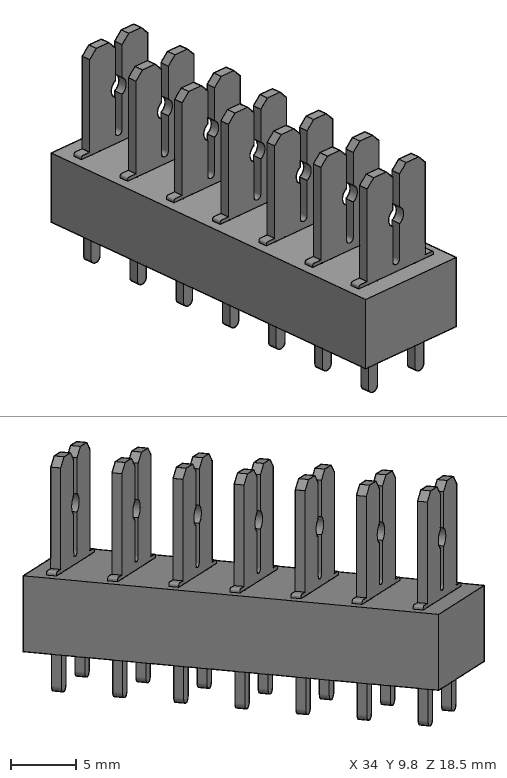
import cadquery as cq

HOUSING_LENGTH = 34.0
HOUSING_WIDTH = 9.8
HOUSING_HEIGHT = 6.0

CONTACT_COUNT = 7
CONTACT_PITCH = 5.0
CONTACT_THICKNESS = 0.8

BLADE_HEIGHT = 9.0
PRONG_WIDTH = 2.8
PRONG_CHAMFER = 0.7
SLOT_WIDTH = 0.7
SLOT_FLOOR_HEIGHT = 0.6
RELIEF_DIAMETER = 1.6
RELIEF_HEIGHT = 4.73

SHOULDER_WIDTH = 8.1
SHOULDER_HEIGHT = 0.3
SHOULDER_RADIUS = 0.2

LEG_SPACING = 5.0
LEG_WIDTH = 1.0
LEG_PROTRUSION = 3.5

contact_positions = [
    (index - (CONTACT_COUNT - 1) / 2) * CONTACT_PITCH for index in range(CONTACT_COUNT)
]
leg_positions = [-LEG_SPACING / 2, LEG_SPACING / 2]


def plate(width, height, y_center, z_bottom):
    """Rectangular plate of contact thickness, centred on X = 0."""
    return (
        cq.Workplane("XY", origin=(0, y_center, z_bottom))
        .box(CONTACT_THICKNESS, width, height, centered=(True, True, False))
    )


def cross_cylinder(diameter, y_center, z_center):
    """Cylinder along X, as long as the contact is thick."""
    return (
        cq.Workplane("YZ", origin=(-CONTACT_THICKNESS / 2, y_center, z_center))
        .circle(diameter / 2)
        .extrude(CONTACT_THICKNESS)
    )


def make_prong(y_center):
    """One prong of the fork, with both top corners chamfered."""
    prong = plate(PRONG_WIDTH, BLADE_HEIGHT, y_center, HOUSING_HEIGHT)
    return prong.faces(">Z").edges("|X").chamfer(PRONG_CHAMFER)


def make_web():
    """Solid foot of the blade that joins the prongs around the rounded slot floor."""
    slot_radius = SLOT_WIDTH / 2
    web_height = SLOT_FLOOR_HEIGHT + slot_radius
    web = plate(SLOT_WIDTH, web_height, 0, HOUSING_HEIGHT)
    return web.cut(cross_cylinder(SLOT_WIDTH, 0, HOUSING_HEIGHT + web_height))


def make_leg(y_center):
    """Solder leg with a full-round tip."""
    tip_center = LEG_WIDTH / 2 - LEG_PROTRUSION
    straight_length = HOUSING_HEIGHT - tip_center
    leg = plate(LEG_WIDTH, straight_length, y_center, tip_center)
    return leg.union(cross_cylinder(LEG_WIDTH, y_center, tip_center))


def make_contact(x_center):
    """Complete contact: shoulder, forked blade with round relief, and two legs."""
    shoulder = plate(SHOULDER_WIDTH, SHOULDER_HEIGHT, 0, HOUSING_HEIGHT)
    contact = shoulder.faces(">Z").edges("|X").fillet(SHOULDER_RADIUS)
    contact = contact.union(make_web())
    prong_offset = (SLOT_WIDTH + PRONG_WIDTH) / 2
    for y_center in (-prong_offset, prong_offset):
        contact = contact.union(make_prong(y_center))
    for y_center in leg_positions:
        contact = contact.union(make_leg(y_center))
    contact = contact.cut(cross_cylinder(RELIEF_DIAMETER, 0, HOUSING_HEIGHT + RELIEF_HEIGHT))
    return contact.translate((x_center, 0, 0))


def make_housing():
    """Block with one rectangular through hole for every leg."""
    block = cq.Workplane("XY").box(
        HOUSING_LENGTH, HOUSING_WIDTH, HOUSING_HEIGHT, centered=(True, True, False)
    )
    leg_holes = [(x, y) for x in contact_positions for y in leg_positions]
    return (
        block.faces(">Z").workplane()
        .pushPoints(leg_holes)
        .rect(CONTACT_THICKNESS, LEG_WIDTH)
        .cutThruAll()
    )


housing = make_housing()
contacts = [make_contact(x) for x in contact_positions]
result = cq.Compound.makeCompound(
    [housing.solids().val(), *[contact.solids().val() for contact in contacts]]
)